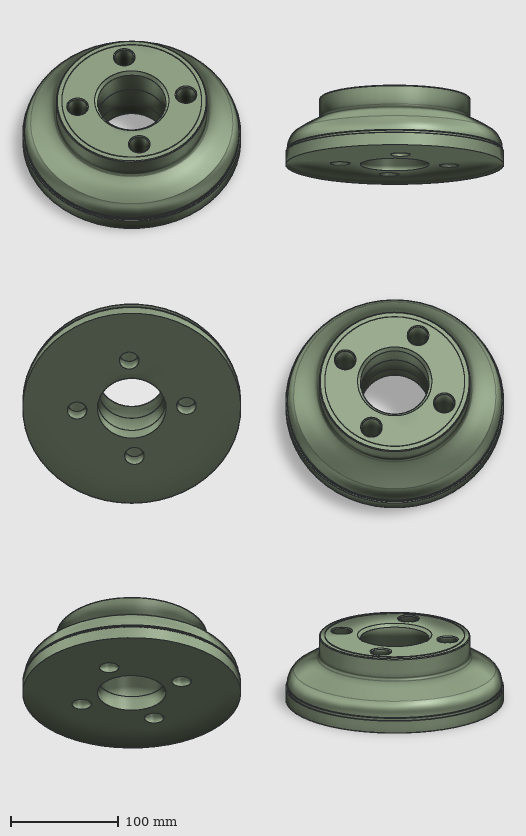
import cadquery as cq

total_height = 63.0
flange_radius = 101.5
bore_radius = 63.5 / 2
lower_bore_radius = 63.8 / 2
bore_step_z = 37.5

flange_height = 11.8
neck_radius = 200.5 / 2
seam_z = 14.6
seam_groove_height = 0.6
seam_groove_depth = 0.6

hub_radius = 140.5 / 2
pad_radius = 130.5 / 2
pad_height = 0.6
hub_chamfer = 0.8
hub_foot_z = 44.3
shoulder_radius = 72.0
shoulder_z = 41.2
foot_mid_inset = 1.2
foot_mid_rise = 1.2
crown_radius = 94.3
crown_z = 28.9
slope_mid = (83.5, 35.5)
dome_mid = (98.8, 22.4)
bore_chamfer = 2.8

bolt_radius = 18.0 / 2
bolt_spacing = 72.1
bolt_chamfer = 1.0


def drill_bolt_holes(body):
    """Cut the four bolt holes through a body."""
    holes = (
        cq.Workplane("XY")
        .rect(bolt_spacing, bolt_spacing, forConstruction=True)
        .vertices()
        .circle(bolt_radius)
        .extrude(total_height)
    )
    return body.cut(holes)


def countersink_bolt_holes(body):
    """Bevel the mouths of the bolt holes in the top face."""
    bevels = (
        cq.Workplane("XY")
        .workplane(offset=total_height)
        .rect(bolt_spacing, bolt_spacing, forConstruction=True)
        .vertices()
        .circle(bolt_radius + bolt_chamfer)
        .extrude(-bolt_chamfer, taper=45)
    )
    return body.cut(bevels)


def make_base():
    """Flanged disc with a neck and a shallow groove below the seam."""
    groove_z = seam_z - seam_groove_height
    groove_radius = neck_radius - seam_groove_depth
    profile = (
        cq.Workplane("XZ")
        .moveTo(lower_bore_radius, 0)
        .lineTo(flange_radius, 0)
        .lineTo(flange_radius, flange_height)
        .lineTo(neck_radius, flange_height)
        .lineTo(neck_radius, groove_z)
        .lineTo(groove_radius, groove_z)
        .lineTo(groove_radius, seam_z)
        .lineTo(lower_bore_radius, seam_z)
        .close()
    )
    return drill_bolt_holes(profile.revolve(360, (0, 0, 0), (0, 1, 0)))


def make_cover():
    """Domed cover with a cylindrical hub and a slightly raised mounting pad."""
    rim_z = total_height - pad_height
    foot_mid = (shoulder_radius - foot_mid_inset, shoulder_z + foot_mid_rise)
    profile = (
        cq.Workplane("XZ")
        .moveTo(lower_bore_radius, seam_z)
        .lineTo(neck_radius, seam_z)
        .threePointArc(dome_mid, (crown_radius, crown_z))
        .threePointArc(slope_mid, (shoulder_radius, shoulder_z))
        .threePointArc(foot_mid, (hub_radius, hub_foot_z))
        .lineTo(hub_radius, rim_z - hub_chamfer)
        .lineTo(hub_radius - hub_chamfer, rim_z)
        .lineTo(pad_radius, rim_z)
        .lineTo(pad_radius, total_height)
        .lineTo(bore_radius + bore_chamfer, total_height)
        .lineTo(bore_radius, total_height - bore_chamfer)
        .lineTo(bore_radius, bore_step_z)
        .lineTo(lower_bore_radius, bore_step_z)
        .close()
    )
    cover = drill_bolt_holes(profile.revolve(360, (0, 0, 0), (0, 1, 0)))
    return countersink_bolt_holes(cover)


base = make_base()
cover = make_cover()

result = cq.Compound.makeCompound([base.solids().val(), cover.solids().val()])